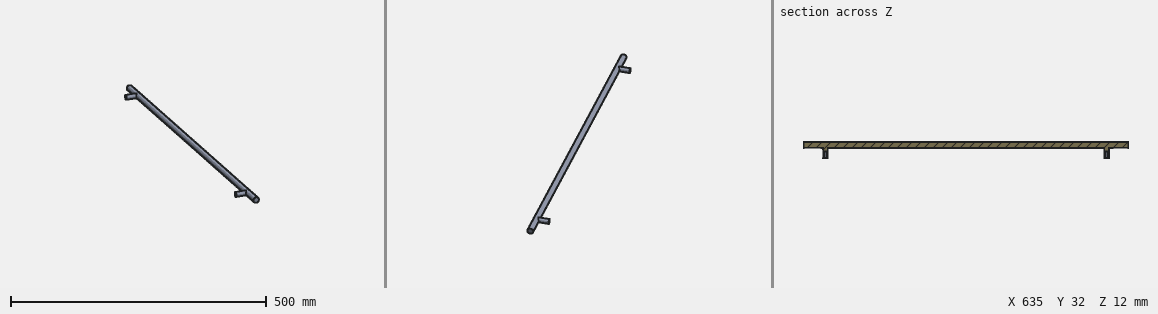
import cadquery as cq

bar_length = 635.0
bar_diameter = 12.0
overall_depth = 32.0
post_diameter = 10.0
post_spacing = 550.0
screw_hole_diameter = 4.0
screw_hole_depth = 13.0

bar_radius = bar_diameter / 2
post_reach = overall_depth - bar_radius


def make_bar():
    """Round grip bar along X."""
    return cq.Workplane("YZ").circle(bar_radius).extrude(bar_length / 2, both=True)


def make_post(x):
    """Round post from the bar axis to the mounting face on the -Y side."""
    return cq.Workplane("XZ").center(x, 0).circle(post_diameter / 2).extrude(post_reach)


def make_screw_hole(x):
    """Blind hole going into the mounting face of a post, toward the bar."""
    mounting_plane = cq.Workplane("XZ", origin=(x, -post_reach, 0))
    return mounting_plane.circle(screw_hole_diameter / 2).extrude(-screw_hole_depth)


result = make_bar()
for side in (-1, 1):
    post_x = side * post_spacing / 2
    result = result.union(make_post(post_x))
    result = result.cut(make_screw_hole(post_x))